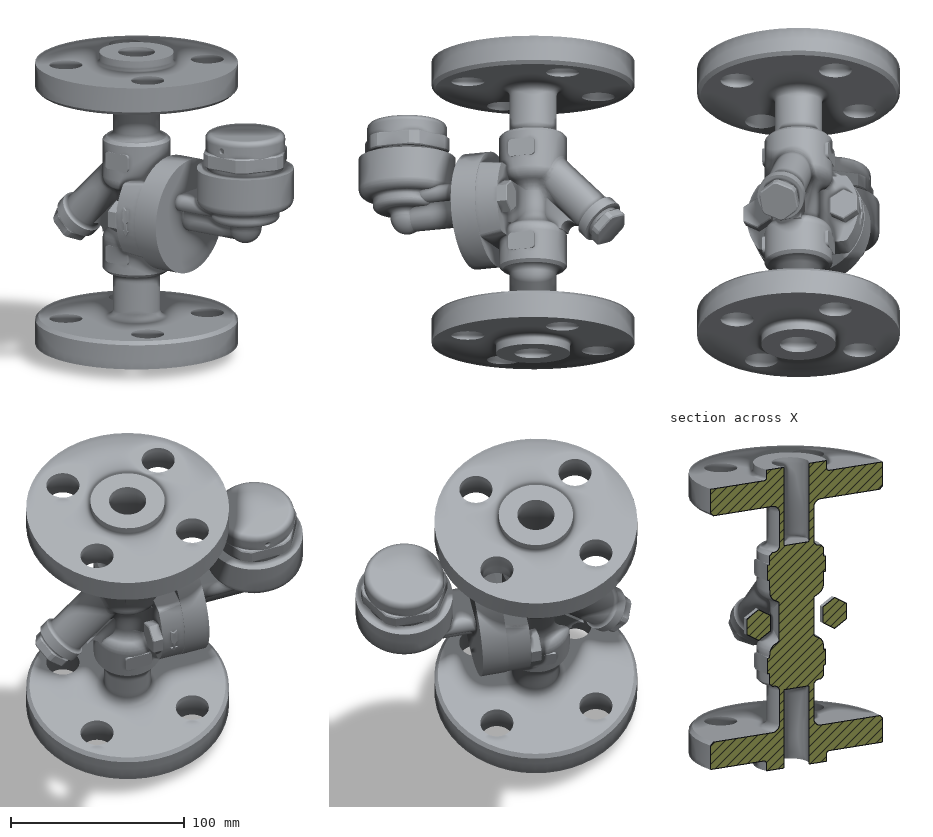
import cadquery as cq
import math

end_z = 90.0
raised_face_r = 21.5
raised_face_fillet = 1.6
flange_r = 58.5
flange_face_z = 83.9
flange_thickness = 16.4
flange_chamfer = 2.0
neck_r = 27.2 / 2
neck_fillet = 4.1
bore_d = 21.5
bolt_hole_d = 19.0
bolt_hole_offset = 29.2
body_r = 39.0 / 2
body_end_z = 40.1
body_chamfer = 1.8
shoulder_fillet = 3.0
bore_depth = end_z - body_end_z - shoulder_fillet

side_z = -2.0
waist_r = 11.5
waist_half_height = 6.5
waist_blend_height = 12.2

pad_width = 16.0
pad_height = 10.0
pad_face_y = 19.6
pad_corner = 2.2
pad_heights_z = (28.5, -27.4)

branch_origin_z = 27.4
branch_r = 11.5
branch_fillet = 3.6
rib_width = 12.6
rib_arc_r = 4.3
collar_start = 54.7
collar_end = 60.5
collar_r = 13.5
plug_neck_r = 10.5
plug_start = 62.5
plug_end = 68.2
plug_flats = 21.5
plug_corner_d = 23.4
plug_edge_break = 0.7

cover_r = 33.5
cover_start_x = 23.2
cover_end_x = 38.2
plate_start_x = 9.7
plate_r = 33.1
plate_half_height_inner = 20.7
plate_half_height_outer = 22.3
plate_corner_fillet = 2.9
web_fillet = 4.7
bolt_y = 25.5
bolt_flats = 16.2
bolt_head_height = 6.1
bolt_edge_break = 0.5

arrow_x = 16.5
arrow_top_z = 6.3
arrow_bottom_z = -10.3
arrow_half_width = 2.0
arrow_stem_half_width = 0.7
arrow_notch = 1.5
arrow_tail_end_z = -1.3
arrow_head_z = -7.0
arrow_height = 0.9

trap_x = 77.5
trap_r = 56.0 / 2
trap_base_r = 19.8
trap_base_z = 2.0
trap_base_fillet = 3.2
trap_base_side_z = 8.5
trap_bowl_z = 10.0
trap_bowl_fillet = 5.0
trap_bowl_top_z = 33.1
trap_groove_r = 22.1
trap_nut_z = 35.6
trap_nut_top_z = 44.5
trap_nut_corner_d = 50.0
trap_nut_edge_break = 0.7
cap_d = 46.0
cap_top_z = 54.2
cap_fillet = 3.2
cap_hole_d = 3.5
cap_hole_z = 47.9
cap_hole_depth = 1.8
stub_r = 9.5
stub_fillet = 2.7

upper_arm_width = 29.3
upper_arm_height = 9.5
upper_arm_z = 8.3
lower_arm_r = 8.3
lower_arm_top_z = upper_arm_z - upper_arm_height / 2
lower_arm_collar_end_x = 39.8


def revolve_about_z(profile):
    """Revolve an (r, z) profile drawn on the XZ plane about its vertical axis."""
    return profile.close().revolve(360, (0, 0, 0), (0, 1, 0))


def trimmed_hex(flats, corner_d, height):
    """Hexagonal nut along +Z with flats facing +-Y and its corners turned to a diameter."""
    across_corners = flats / math.cos(math.radians(30))
    hexagon = cq.Workplane("XY").polygon(6, across_corners).extrude(height)
    return hexagon.intersect(cq.Workplane("XY").circle(corner_d / 2).extrude(height))


def make_run_end():
    """Upper flange, neck and the shoulder of the body, without holes."""
    back_z = flange_face_z - flange_thickness
    overlap_z = body_end_z - 2 * body_chamfer
    profile = (
        cq.Workplane("XZ")
        .moveTo(0, overlap_z)
        .lineTo(0, end_z)
        .lineTo(raised_face_r, end_z)
        .lineTo(raised_face_r, flange_face_z + raised_face_fillet)
        .tangentArcPoint((raised_face_r + raised_face_fillet, flange_face_z), relative=False)
        .lineTo(flange_r, flange_face_z)
        .lineTo(flange_r, back_z + flange_chamfer)
        .lineTo(flange_r - flange_chamfer, back_z)
        .lineTo(neck_r + neck_fillet, back_z)
        .tangentArcPoint((neck_r, back_z - neck_fillet), relative=False)
        .lineTo(neck_r, body_end_z + shoulder_fillet)
        .tangentArcPoint((neck_r + shoulder_fillet, body_end_z), relative=False)
        .lineTo(body_r - body_chamfer, body_end_z)
        .lineTo(body_r, body_end_z - body_chamfer)
        .lineTo(body_r, overlap_z)
        .lineTo(0, overlap_z)
    )
    return revolve_about_z(profile)


def make_waisted_body():
    """Body barrel with a waist whose ends swell out in a pair of tangent arcs."""
    top_z = body_end_z - body_chamfer
    mid_r = (body_r + waist_r) / 2
    waist_top = side_z + waist_half_height
    waist_bottom = side_z - waist_half_height
    profile = (
        cq.Workplane("XZ")
        .moveTo(0, top_z)
        .lineTo(body_r, top_z)
        .lineTo(body_r, waist_top + waist_blend_height)
        .tangentArcPoint((mid_r, waist_top + waist_blend_height / 2), relative=False)
        .tangentArcPoint((waist_r, waist_top), relative=False)
        .lineTo(waist_r, waist_bottom)
        .tangentArcPoint((mid_r, waist_bottom - waist_blend_height / 2), relative=False)
        .tangentArcPoint((body_r, waist_bottom - waist_blend_height), relative=False)
        .lineTo(body_r, -top_z)
        .lineTo(0, -top_z)
    )
    return revolve_about_z(profile)


def make_pad(z):
    """Pad passing through the body, so it shows on the front and on the back."""
    return (
        cq.Workplane("XY")
        .box(pad_width, 2 * pad_face_y, pad_height)
        .edges("|Y")
        .fillet(pad_corner)
        .translate((0, 0, z))
    )


def branch_plane():
    """Plane square to the branch, with its normal along the branch and Y kept horizontal."""
    return cq.Plane(origin=(0, 0, branch_origin_z), xDir=(1, 0, -1), normal=(-1, 0, -1))


def make_branch_pipe():
    return cq.Workplane(branch_plane()).circle(branch_r).extrude(collar_start)


def make_rib():
    """Rib filling the corner under the branch, ending in an arc tangent to branch and body."""
    diagonal = math.sqrt(2) / 2
    underside_z = branch_origin_z - branch_r / diagonal
    start_x = -body_r - rib_arc_r * (1 + diagonal)
    start_z = underside_z + start_x
    centre_x = start_x + rib_arc_r * diagonal
    centre_z = start_z - rib_arc_r * diagonal
    crown_angle = math.radians(67.5)
    crown = (centre_x + rib_arc_r * math.cos(crown_angle), centre_z + rib_arc_r * math.sin(crown_angle))
    inner_x = -waist_r / 2
    return (
        cq.Workplane("XZ")
        .moveTo(start_x, start_z)
        .threePointArc(crown, (-body_r, centre_z))
        .lineTo(inner_x, centre_z)
        .lineTo(inner_x, underside_z + inner_x)
        .close()
        .extrude(rib_width / 2, both=True)
    )


def make_branch_cap():
    """Collar with a filleted back, a narrow neck and the trimmed hexagon of the plug."""
    back_fillet = collar_r - branch_r
    turned = revolve_about_z(
        cq.Workplane("XZ")
        .moveTo(0, collar_start - 2 * back_fillet)
        .lineTo(branch_r, collar_start - 2 * back_fillet)
        .lineTo(branch_r, collar_start - back_fillet)
        .tangentArcPoint((collar_r, collar_start), relative=False)
        .lineTo(collar_r, collar_end)
        .lineTo(plug_neck_r, collar_end)
        .lineTo(plug_neck_r, plug_start)
        .lineTo(0, plug_start)
    )
    plug = trimmed_hex(plug_flats, plug_corner_d, plug_end - plug_start)
    plug = plug.faces("<Z or >Z").chamfer(plug_edge_break)
    cap = turned.union(plug.translate((0, 0, plug_start)))
    return cq.Workplane(cap.val().moved(branch_plane().location))


def make_plate():
    """Round plate cut off flat above and below, growing taller towards the cover."""
    disc = (
        cq.Workplane("YZ", origin=(plate_start_x, 0, side_z))
        .circle(plate_r)
        .extrude(cover_start_x - plate_start_x)
    )
    wedge = (
        cq.Workplane("XZ", origin=(0, 0, side_z))
        .moveTo(plate_start_x, plate_half_height_inner)
        .lineTo(cover_start_x, plate_half_height_outer)
        .lineTo(cover_start_x, -plate_half_height_outer)
        .lineTo(plate_start_x, -plate_half_height_inner)
        .close()
        .extrude(cover_r, both=True)
    )
    plate = disc.intersect(wedge)
    return plate.edges("not(<X or >X)").fillet(plate_corner_fillet)


def make_web():
    """Block from the waist to the plate, flaring to meet the plate in vertical fillets."""
    half_height = waist_half_height + waist_blend_height / 2
    flare_y = waist_r + web_fillet
    half = (
        cq.Workplane("XY", origin=(0, 0, side_z))
        .moveTo(0, 0)
        .lineTo(0, -waist_r)
        .lineTo(plate_start_x - web_fillet, -waist_r)
        .tangentArcPoint((plate_start_x, -flare_y), relative=False)
        .lineTo(plate_start_x, 0)
        .close()
        .extrude(half_height, both=True)
    )
    return half.union(half.mirror("XZ"))


def make_bolt_head(y):
    across_corners = bolt_flats / math.cos(math.radians(30))
    head = (
        cq.Workplane("YZ", origin=(plate_start_x, y, side_z))
        .transformed(rotate=(0, 0, 90))
        .polygon(6, across_corners)
        .extrude(-bolt_head_height)
    )
    return head.faces("<X").chamfer(bolt_edge_break)


def make_cover():
    return (
        cq.Workplane("YZ", origin=(cover_start_x, 0, side_z))
        .circle(cover_r)
        .extrude(cover_end_x - cover_start_x)
    )


def make_arrow():
    """Arrow pointing down, raised evenly above the curved rim on the -Y side."""
    right_side = [
        (arrow_half_width, arrow_top_z),
        (arrow_half_width, arrow_tail_end_z),
        (arrow_stem_half_width, arrow_tail_end_z - arrow_notch),
        (arrow_stem_half_width, arrow_head_z),
        (arrow_half_width, arrow_head_z),
    ]
    left_side = [(-x, z) for x, z in reversed(right_side)]
    outline = [(0, arrow_top_z - arrow_notch)] + right_side + [(0, arrow_bottom_z)] + left_side
    prism = (
        cq.Workplane("XZ", origin=(arrow_x, 0, 0))
        .polyline(outline)
        .close()
        .extrude(cover_r + 2 * arrow_height)
    )
    rim = (
        cq.Workplane("YZ", origin=(plate_start_x, 0, side_z))
        .circle(plate_r + arrow_height)
        .circle(plate_r - arrow_height)
        .extrude(cover_start_x - plate_start_x)
    )
    return prism.intersect(rim)


def make_trap():
    """Turned trap body on a round-ended stub, with a hexagonal nut and a cap on top."""
    cap_r = cap_d / 2
    base_top_fillet = trap_bowl_z - trap_base_side_z
    turned = revolve_about_z(
        cq.Workplane("XZ")
        .moveTo(0, side_z - stub_r)
        .threePointArc(
            (stub_r * math.sin(math.pi / 4), side_z - stub_r * math.cos(math.pi / 4)),
            (stub_r, side_z),
        )
        .lineTo(stub_r, trap_base_z - stub_fillet)
        .tangentArcPoint((stub_r + stub_fillet, trap_base_z), relative=False)
        .lineTo(trap_base_r - trap_base_fillet, trap_base_z)
        .tangentArcPoint((trap_base_r, trap_base_z + trap_base_fillet), relative=False)
        .lineTo(trap_base_r, trap_base_side_z)
        .tangentArcPoint((trap_base_r + base_top_fillet, trap_bowl_z), relative=False)
        .lineTo(trap_r - trap_bowl_fillet, trap_bowl_z)
        .tangentArcPoint((trap_r, trap_bowl_z + trap_bowl_fillet), relative=False)
        .lineTo(trap_r, trap_bowl_top_z)
        .lineTo(trap_groove_r, trap_bowl_top_z)
        .lineTo(trap_groove_r, trap_nut_z)
        .lineTo(cap_r, trap_nut_top_z)
        .lineTo(cap_r, cap_top_z - cap_fillet)
        .tangentArcPoint((cap_r - cap_fillet, cap_top_z), relative=False)
        .lineTo(0, cap_top_z)
    )
    nut = trimmed_hex(cap_d, trap_nut_corner_d, trap_nut_top_z - trap_nut_z)
    nut = nut.faces("<Z or >Z").chamfer(trap_nut_edge_break)
    hole = (
        cq.Workplane("XZ", origin=(0, -cap_r + cap_hole_depth, cap_hole_z))
        .circle(cap_hole_d / 2)
        .extrude(2 * cap_hole_depth)
    )
    trap = turned.union(nut.translate((0, 0, trap_nut_z))).cut(hole)
    return trap.translate((trap_x, 0, 0))


def make_arms():
    """Wide rounded arm to the trap base, above a U-shaped arm to the stub."""
    reach = trap_x - cover_end_x
    upper = (
        cq.Workplane("YZ", origin=(cover_end_x, 0, upper_arm_z))
        .slot2D(upper_arm_width, upper_arm_height)
        .extrude(reach)
    )
    collar = cq.Workplane("YZ", origin=(cover_end_x, 0, side_z)).circle(lower_arm_r).extrude(reach)
    lower = (
        cq.Workplane("YZ", origin=(lower_arm_collar_end_x, 0, 0))
        .moveTo(-lower_arm_r, lower_arm_top_z)
        .lineTo(-lower_arm_r, side_z)
        .threePointArc((0, side_z - lower_arm_r), (lower_arm_r, side_z))
        .lineTo(lower_arm_r, lower_arm_top_z)
        .close()
        .extrude(trap_x - lower_arm_collar_end_x)
    )
    return upper.union(collar).union(lower)


def cut_flange_holes(part):
    """Bolt holes through both flanges, and a bore from each end of the run."""
    for side in (1, -1):
        bolt_holes = (
            cq.Workplane("XY", origin=(0, 0, side * flange_face_z))
            .rect(2 * bolt_hole_offset, 2 * bolt_hole_offset, forConstruction=True)
            .vertices()
            .circle(bolt_hole_d / 2)
            .extrude(-side * flange_thickness)
        )
        bore = (
            cq.Workplane("XY", origin=(0, 0, side * end_z))
            .circle(bore_d / 2)
            .extrude(-side * bore_depth)
        )
        part = part.cut(bolt_holes).cut(bore)
    return part


body = make_waisted_body().union(make_branch_pipe())
body = body.edges("%BSPLINE or %ELLIPSE").fillet(branch_fillet).union(make_rib())

run_end = make_run_end()
result = body.union(run_end).union(run_end.mirror("XY"))
result = cut_flange_holes(result)
for pad_z in pad_heights_z:
    result = result.union(make_pad(pad_z))
result = result.union(make_branch_cap())
result = result.union(make_web()).union(make_plate())
for bolt_side in (1, -1):
    result = result.union(make_bolt_head(bolt_side * bolt_y))
result = result.union(make_cover()).union(make_arrow())
result = result.union(make_trap()).union(make_arms())